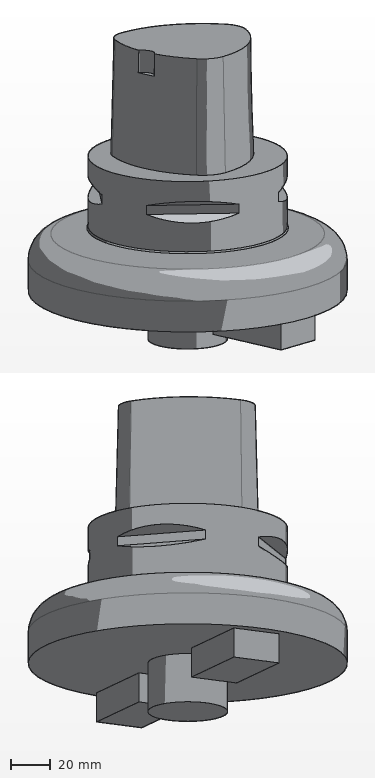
import cadquery as cq
import math


flange_radius = 80.0
rim_height = 16.0
shoulder_radius = 13.8
cone_angle = math.radians(10)
cone_inner_radius = 50.5
collar_base_z = 33.6

collar_radius = 50.0
collar_top = 70.0
slot_count = 4
slot_center_z = 54.0
slot_floor_distance = 44.3
slot_floor_height = 4.6
slot_wall_angle = math.radians(30)

shank_height = 60.0
lobe_offset = 23.7
lobe_radius = 15.4
taper_per_side = 1 / 40

notch_diameter = 12.0
notch_depth = 11.5
notch_center_y = -34.0

pin_diameter = 40.0
pin_length = 25.0
tang_inner_x = 28.3
tang_outer_x = 74.0
tang_width = 25.6
tang_height = 15.0


def polar(center, radius, degrees):
    angle = math.radians(degrees)
    return (center[0] + radius * math.cos(angle), center[1] + radius * math.sin(angle))


def make_flange():
    center_x = flange_radius - shoulder_radius
    shoulder_center = (center_x, rim_height)
    shoulder_end_degrees = 90 - math.degrees(cone_angle)
    shoulder_mid = polar(shoulder_center, shoulder_radius, shoulder_end_degrees / 2)
    shoulder_end = polar(shoulder_center, shoulder_radius, shoulder_end_degrees)
    cone_top = shoulder_end[1] + (shoulder_end[0] - cone_inner_radius) * math.tan(cone_angle)
    return (
        cq.Workplane("XZ")
        .lineTo(flange_radius, 0)
        .lineTo(flange_radius, rim_height)
        .threePointArc(shoulder_mid, shoulder_end)
        .lineTo(cone_inner_radius, cone_top)
        .lineTo(collar_radius, collar_base_z)
        .lineTo(0, collar_base_z)
        .close()
        .revolve(360, (0, 0, 0), (0, 1, 0))
    )


def make_slot_cutter():
    """Slot with a flat floor and walls that flare outward, facing +X."""
    outer_distance = collar_radius + 1.6
    flare = (outer_distance - slot_floor_distance) * math.tan(slot_wall_angle)
    half_floor = slot_floor_height / 2
    half_mouth = half_floor + flare
    return (
        cq.Workplane("XZ", origin=(0, 0, slot_center_z))
        .moveTo(slot_floor_distance, -half_floor)
        .lineTo(outer_distance, -half_mouth)
        .lineTo(outer_distance, half_mouth)
        .lineTo(slot_floor_distance, half_floor)
        .close()
        .extrude(collar_radius, both=True)
    )


def make_collar():
    collar = cq.Workplane("XY").circle(collar_radius).extrude(collar_top)
    slot = make_slot_cutter()
    step = 360 / slot_count
    for index in range(slot_count):
        collar = collar.cut(slot.rotate((0, 0, 0), (0, 0, 1), step * (index + 0.5)))
    return collar


def make_shank():
    """Rounded triangle of tangent 60 degree arcs, one lobe pointing toward +Y."""
    flank_radius = lobe_offset * math.sqrt(3) + lobe_radius
    outline = cq.Workplane("XY", origin=(0, 0, collar_top))
    outline = outline.moveTo(*polar(polar((0, 0), lobe_offset, 90), lobe_radius, 60))
    for lobe_angle in (90, 210, 330):
        lobe = polar((0, 0), lobe_offset, lobe_angle)
        opposite_lobe = polar((0, 0), lobe_offset, lobe_angle - 120)
        flank_middle = lobe_angle + 60
        outline = outline.threePointArc(
            polar(lobe, lobe_radius, lobe_angle),
            polar(lobe, lobe_radius, lobe_angle + 30),
        ).threePointArc(
            polar(opposite_lobe, flank_radius, flank_middle),
            polar(opposite_lobe, flank_radius, flank_middle + 30),
        )
    taper_degrees = math.degrees(math.atan(taper_per_side))
    shank = outline.close().extrude(shank_height, taper=taper_degrees)
    notch = (
        cq.Workplane("XY", origin=(0, notch_center_y, collar_top + shank_height - notch_depth))
        .circle(notch_diameter / 2)
        .extrude(notch_depth)
    )
    return shank.cut(notch)


def make_pin():
    return cq.Workplane("XY").circle(pin_diameter / 2).extrude(-pin_length)


def make_tangs():
    tang_center_x = (tang_inner_x + tang_outer_x) / 2
    return (
        cq.Workplane("XY")
        .pushPoints([(-tang_center_x, 0), (tang_center_x, 0)])
        .rect(tang_outer_x - tang_inner_x, tang_width)
        .extrude(-tang_height)
    )


result = make_flange().union(make_collar()).union(make_shank()).union(make_pin()).union(make_tangs())